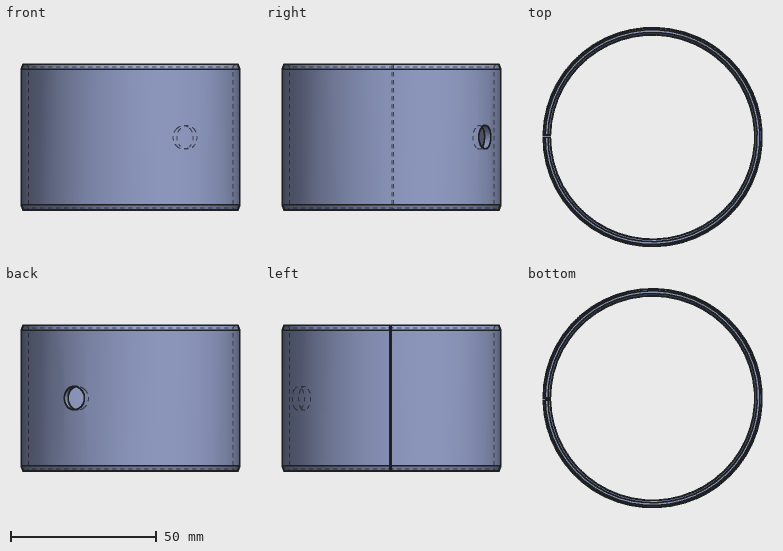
import cadquery as cq

outer_diameter = 75.0
wall = 2.5
length = 50.0
inner_radius = outer_diameter / 2 - wall

outer_chamfer_height = 1.8
outer_chamfer_depth = 0.7
inner_chamfer = 0.8

split_angle = 1.0
wrap_angle = 360 - split_angle

oil_hole_diameter = 8.0
oil_hole_angle = 59.0


def sleeve():
    """Sweep the chamfered wall section from -X around to the split."""
    outer_radius = outer_diameter / 2
    half_length = length / 2
    upper_half = [
        (outer_radius, half_length - outer_chamfer_height),
        (outer_radius - outer_chamfer_depth, half_length),
        (inner_radius + inner_chamfer, half_length),
        (inner_radius, half_length - inner_chamfer),
    ]
    lower_half = [(radius, -z) for radius, z in reversed(upper_half)]
    section = cq.Workplane("XZ").polyline(upper_half + lower_half).close()
    wrapped = section.revolve(wrap_angle, (0, 0, 0), (0, 1, 0))
    return wrapped.rotate((0, 0, 0), (0, 0, 1), 180)


def oil_hole():
    """Radial hole through one wall at mid length."""
    drill = cq.Workplane("YZ").circle(oil_hole_diameter / 2).extrude(outer_diameter)
    return drill.rotate((0, 0, 0), (0, 0, 1), oil_hole_angle)


result = sleeve().cut(oil_hole())